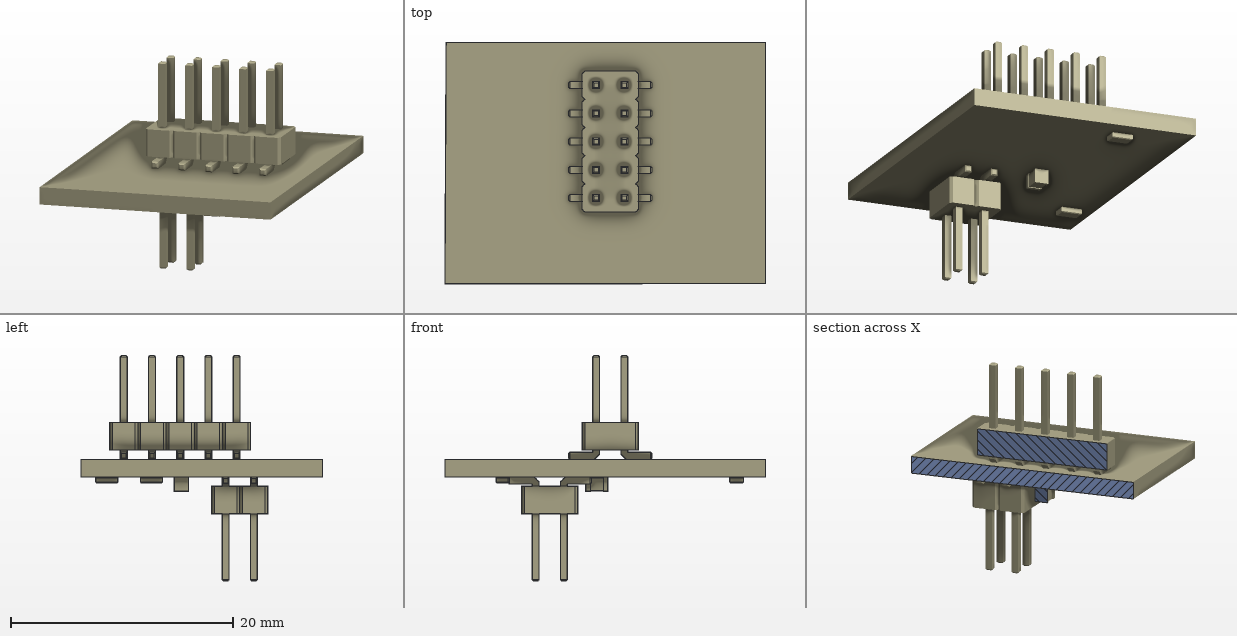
import cadquery as cq


board_length = 28.9
board_width = 21.76
board_thickness = 1.6
left_edge_lean = 0.11
back_edge_drop = 0.01
front_edge_rise = 0.03

pitch = 2.54
housing_height = 2.5
housing_chamfer = 0.25
standoff = 0.82
pin_size = 0.64
pin_length = 6.03
foot_reach = 3.75
bend_chamfer = 0.45
pin_tip_chamfer = 0.12

top_header_x = 0.45
top_header_y = 1.94
top_header_rows = 5

bottom_header_x = -5.0
bottom_header_y = -3.42
bottom_header_rows = 2

resistor_size_x = 1.25
resistor_size_y = 2.0
resistor_height = 0.52
resistor_edge_chamfer = 0.08
resistor_places = [(-9.2, 8.55), (11.83, 4.53)]

capacitor_length = 2.0
capacitor_width = 1.3
capacitor_height = 1.3
terminal_length = 0.42
capacitor_body_inset = 0.06
capacitor_x = -0.76
capacitor_y = 1.84


def make_board():
    left, right = -board_length / 2, board_length / 2
    front, back = -board_width / 2, board_width / 2
    corners = [
        (left, front),
        (right, front + front_edge_rise),
        (right, back - back_edge_drop),
        (left + left_edge_lean, back),
    ]
    return cq.Workplane("XY").polyline(corners).close().extrude(board_thickness)


def make_pin():
    """One bent pin: a foot on Z = 0 pointing to +X and a post rising at half a pitch from the Z axis."""
    post_inner = (pitch - pin_size) / 2
    post_outer = post_inner + pin_size
    pin_top = standoff + housing_height + pin_length
    profile = [
        (post_inner, 0),
        (foot_reach, 0),
        (foot_reach, pin_size),
        (post_outer, pin_size),
        (post_outer, pin_top),
        (post_inner, pin_top),
    ]
    pin = cq.Workplane("XZ").polyline(profile).close().extrude(pin_size / 2, both=True)
    pin = pin.edges("|Y and <X and <Z").chamfer(bend_chamfer)
    return pin.faces(">Z or >X").chamfer(pin_tip_chamfer)


def make_header(rows):
    """Two columns of pins through a housing of chamfered square cells, standing on Z = 0."""
    row_ys = [(row - (rows - 1) / 2) * pitch for row in range(rows)]
    cell = (
        cq.Workplane("XY")
        .box(2 * pitch, pitch, housing_height, centered=(True, True, False))
        .edges("|Z")
        .chamfer(housing_chamfer)
        .translate((0, 0, standoff))
    )
    pin = make_pin()
    pin_pair = pin.union(pin.rotate((0, 0, 0), (0, 0, 1), 180))
    one_row = cell.union(pin_pair)
    header = cq.Workplane("XY")
    for y in row_ys:
        header = header.union(one_row.translate((0, y, 0)))
    return header


def make_resistor():
    """A flat block with its top and bottom edges chamfered, hanging below Z = 0."""
    block = cq.Workplane("XY").box(
        resistor_size_x, resistor_size_y, resistor_height, centered=(True, True, False)
    )
    return block.faces("|Z").chamfer(resistor_edge_chamfer).translate((0, 0, -resistor_height))


def make_capacitor():
    """Two square terminals joined by the thinner body, hanging below Z = 0."""
    body = cq.Workplane("XY").box(
        capacitor_length - 2 * terminal_length,
        capacitor_width - 2 * capacitor_body_inset,
        capacitor_height - 2 * capacitor_body_inset,
    )
    terminal_x = (capacitor_length - terminal_length) / 2
    terminals = (
        cq.Workplane("XY")
        .pushPoints([(-terminal_x, 0), (terminal_x, 0)])
        .box(terminal_length, capacitor_width, capacitor_height)
    )
    return body.union(terminals).translate((0, 0, -capacitor_height / 2))


board = make_board()
top_header = make_header(top_header_rows).translate((top_header_x, top_header_y, board_thickness))
bottom_header = (
    make_header(bottom_header_rows)
    .rotate((0, 0, 0), (1, 0, 0), 180)
    .translate((bottom_header_x, bottom_header_y, 0))
)
resistors = [make_resistor().translate((x, y, 0)) for x, y in resistor_places]
capacitor = make_capacitor().translate((capacitor_x, capacitor_y, 0))

result = cq.Compound.makeCompound(
    [
        board.val(),
        top_header.val(),
        bottom_header.val(),
        *[resistor.val() for resistor in resistors],
        capacitor.val(),
    ]
)